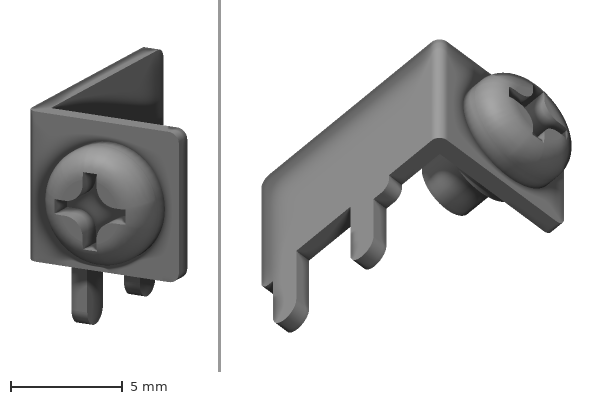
import cadquery as cq

thickness = 0.8
corner_radius = 0.5
plate_height = 7.0
face_width = 7.7
side_length = 11.5

shoulder_drop = 0.8
shoulder_front = 3.25
leg_width = 1.5
leg_pitch = 5.0
leg_back_inset = 0.75
leg_drop = 4.2
leg_radius = leg_width / 2
rear_leg_back = side_length - leg_back_inset
rear_leg_front = rear_leg_back - leg_width
front_leg_front = rear_leg_front - leg_pitch

screw_x = 4.24
screw_drop = 0.12
screw_z = plate_height / 2 - screw_drop
collar_diameter = 4.5
collar_height = 1.0
shank_diameter = 3.0
shank_projection = 3.2
head_diameter = 5.5
head_height = 2.0
head_round = 1.25

recess_span = 3.6
recess_slot_width = 0.7
recess_corner_radius = 0.9
recess_depth = 1.25


def screw_axis_plane(y):
    """Plane centred on the screw axis at the given Y, with its normal along +Y."""
    return cq.Plane(origin=(screw_x, y, screw_z), xDir=(1, 0, 0), normal=(0, 1, 0))


def make_face_plate():
    """Front plate with its two free corners rounded."""
    plate = cq.Workplane("XY").box(face_width, thickness, plate_height, centered=False)
    return plate.edges("|Y and >X").fillet(corner_radius)


def make_shoulder(front, back, rounded_edge):
    """Part of the side plate's lower edge that steps down above a leg."""
    shoulder = (
        cq.Workplane("XY", origin=(0, front, -shoulder_drop))
        .box(thickness, back - front, 2 * shoulder_drop, centered=False)
    )
    return shoulder.edges(rounded_edge).edges("<Z").fillet(corner_radius)


def make_leg(front):
    """Leg with a fully rounded tip."""
    leg = (
        cq.Workplane("YZ")
        .moveTo(front, 0)
        .lineTo(front, leg_radius - leg_drop)
        .threePointArc((front + leg_radius, -leg_drop), (front + leg_width, leg_radius - leg_drop))
        .lineTo(front + leg_width, 0)
        .close()
        .extrude(thickness)
    )
    return leg


def make_side_plate():
    """Side plate with rounded back corners, two shoulders and two legs."""
    plate = cq.Workplane("XY").box(thickness, side_length, plate_height, centered=False)
    plate = plate.edges("|X and >Y and >Z").fillet(corner_radius)
    plate = plate.union(make_shoulder(shoulder_front, front_leg_front + leg_width, "|X and <Y"))
    plate = plate.union(make_shoulder(rear_leg_front, side_length, "|X and >Y"))
    for front in (front_leg_front, rear_leg_front):
        plate = plate.union(make_leg(front))
    return plate


def make_bracket():
    """Bent bracket with a collar and a hole for the screw."""
    bracket = make_face_plate().union(make_side_plate())
    bracket = bracket.edges("|Z and <X and <Y").fillet(corner_radius)
    collar = (
        cq.Workplane(screw_axis_plane(thickness))
        .circle(collar_diameter / 2)
        .extrude(collar_height)
    )
    hole = (
        cq.Workplane(screw_axis_plane(0))
        .circle(shank_diameter / 2)
        .extrude(thickness + collar_height)
    )
    return bracket.union(collar).cut(hole)


def make_cross_recess():
    """Cross-shaped cutter with rounded inner corners."""
    plane = screw_axis_plane(-head_height)
    cross = cq.Workplane(plane).rect(recess_span, recess_slot_width).extrude(recess_depth)
    upright = cq.Workplane(plane).rect(recess_slot_width, recess_span).extrude(recess_depth)
    cross = cross.union(upright)
    inner_corners = cq.selectors.BoxSelector(
        (screw_x - recess_slot_width, -head_height, screw_z - recess_slot_width),
        (screw_x + recess_slot_width, recess_depth - head_height, screw_z + recess_slot_width),
    )
    return cross.edges("|Y").edges(inner_corners).fillet(recess_corner_radius)


def make_screw():
    """Pan head screw whose shank fills the bracket's hole."""
    head = (
        cq.Workplane(screw_axis_plane(-head_height))
        .circle(head_diameter / 2)
        .extrude(head_height)
        .faces("<Y")
        .edges()
        .fillet(head_round)
    )
    shank = (
        cq.Workplane(screw_axis_plane(0))
        .circle(shank_diameter / 2)
        .extrude(thickness + shank_projection)
    )
    return head.union(shank).cut(make_cross_recess())


bracket = make_bracket()
screw = make_screw()
result = cq.Compound.makeCompound([bracket.val(), screw.val()])